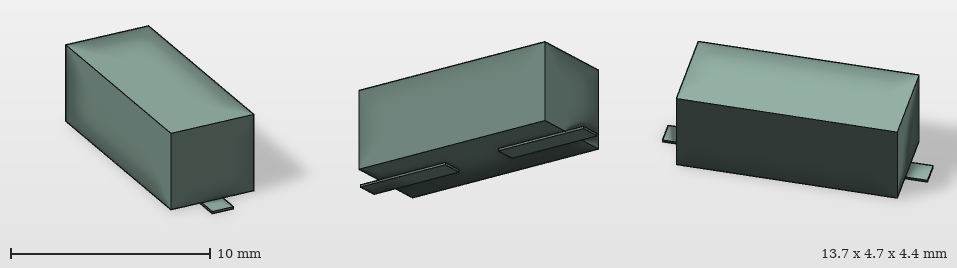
import cadquery as cq

overall_length = 13.7
overall_height = 4.4

lead_length = 5.22
lead_width = 1.2
lead_thickness = 0.12

housing_length = 11.43
housing_width = 4.7
housing_height = overall_height - lead_thickness


def make_housing():
    """Plain block centred on the origin, with its underside on top of the leads."""
    return (
        cq.Workplane("XY")
        .workplane(offset=lead_thickness)
        .rect(housing_length, housing_width)
        .extrude(housing_height)
    )


def make_lead(side):
    """Flat strip reaching the outer end of the part; side is -1 or +1 along X."""
    center_x = side * (overall_length - lead_length) / 2
    return (
        cq.Workplane("XY")
        .center(center_x, 0)
        .rect(lead_length, lead_width)
        .extrude(lead_thickness)
    )


housing = make_housing()
leads = [make_lead(side) for side in (-1, 1)]

result = cq.Compound.makeCompound([housing.val(), *[lead.val() for lead in leads]])